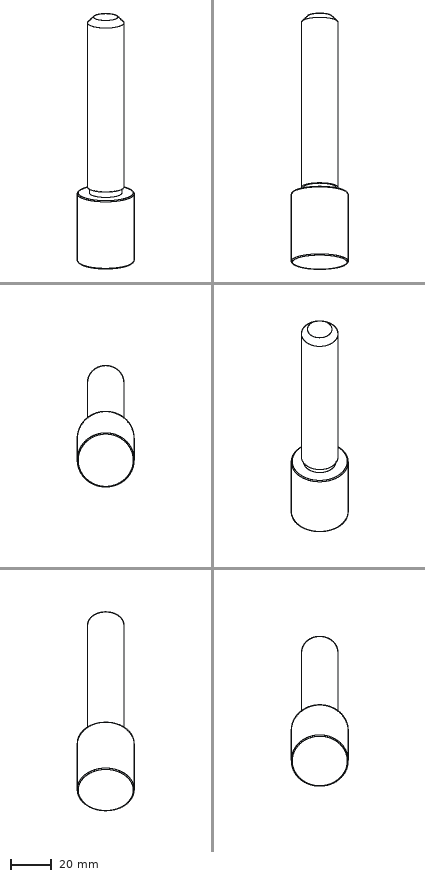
import cadquery as cq

total_length = 125.0
head_diameter = 28.0
head_length = 35.0
head_chamfer = 0.5
neck_diameter = 16.0
neck_length = 3.0
shank_diameter = 18.0
tip_chamfer = 3.0

shank_length = total_length - head_length - neck_length


def cylinder(diameter, length, base_height):
    """Upright cylinder on the Z axis, starting at the given height."""
    return cq.Workplane("XY").workplane(offset=base_height).circle(diameter / 2).extrude(length)


head = cylinder(head_diameter, head_length, 0).edges().chamfer(head_chamfer)

neck = cylinder(neck_diameter, neck_length, head_length)

shank = cylinder(shank_diameter, shank_length, head_length + neck_length)
shank = shank.faces(">Z").edges().chamfer(tip_chamfer)

result = head.union(neck).union(shank)